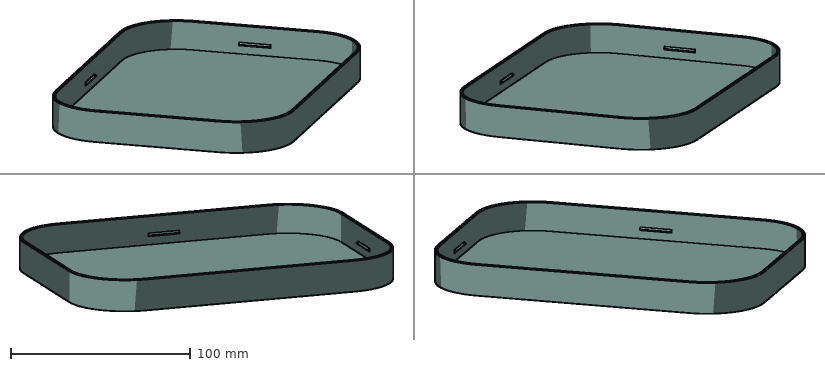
import cadquery as cq

width = 139.0
length = 191.0
height = 18.3
corner_radius = 33.2
wall = 1.5
rim_chamfer = 0.5
floor_thickness = 1.5

ridge_length = 18.3
ridge_projection = 1.1
ridge_height = 2.0
ridge_center_z = 7.3


def rounded_block(inset, bottom, top):
    """Rounded rectangle, inset from the outer wall, spanning bottom to top."""
    return (
        cq.Workplane("XY", origin=(0, 0, bottom))
        .rect(width - 2 * inset, length - 2 * inset)
        .extrude(top - bottom)
        .edges("|Z")
        .fillet(corner_radius - inset)
    )


def ridge(wall_distance, angle):
    """Triangular ridge on a wall, turned by angle about the tray centre."""
    inner_face = wall_distance - wall
    root = inner_face + wall / 2
    half_height = ridge_height / 2
    return (
        cq.Workplane("XZ", origin=(0, ridge_length / 2, 0))
        .moveTo(root, ridge_center_z - half_height)
        .lineTo(inner_face, ridge_center_z - half_height)
        .lineTo(inner_face - ridge_projection, ridge_center_z)
        .lineTo(inner_face, ridge_center_z + half_height)
        .lineTo(root, ridge_center_z + half_height)
        .close()
        .extrude(ridge_length)
        .rotate((0, 0, 0), (0, 0, 1), angle)
    )


tray = rounded_block(0, 0, height)
result = tray.cut(rounded_block(wall, floor_thickness, height))

for wall_distance, angle in (
    (width / 2, 0),
    (length / 2, 90),
    (width / 2, 180),
    (length / 2, 270),
):
    result = result.union(ridge(wall_distance, angle))

result = result.faces(">Z").edges().chamfer(rim_chamfer)